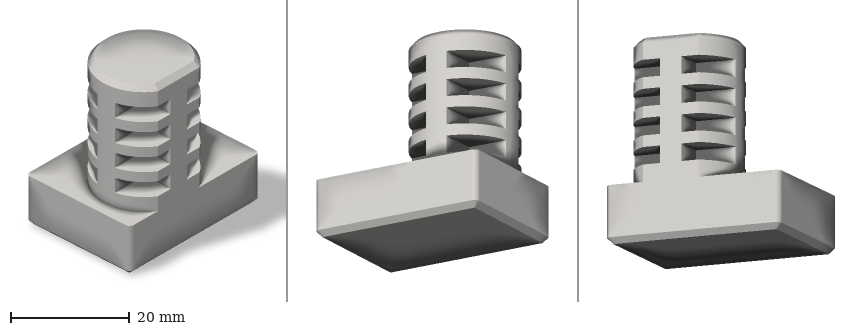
import cadquery as cq

base_length = 24.0
base_width = 32.0
base_height = 10.0
edge_size = 1.0

total_height = 35.0
post_diameter = 19.0
post_x = 16.0
post_y = 12.0

core_thickness = 4.0
slot_count = 4
slot_height = 3.0
slot_pitch = 5.0
first_slot_z = 13.0


def make_base():
    """Rounded block on a flared foot whose four corners are quarter cones."""
    centre = (base_length / 2, base_width / 2, 0)
    foot = (
        cq.Workplane("XY", origin=centre)
        .rect(base_length - 2 * edge_size, base_width - 2 * edge_size)
        .extrude(edge_size, taper=-45)
    )
    block = (
        cq.Workplane("XY", origin=centre)
        .workplane(offset=edge_size)
        .rect(base_length, base_width)
        .extrude(base_height - edge_size)
        .edges("|Z")
        .fillet(edge_size)
    )
    return block.union(foot)


def make_post():
    post = (
        cq.Workplane("XY", origin=(post_x, post_y, 0))
        .workplane(offset=base_height)
        .circle(post_diameter / 2)
        .extrude(total_height - base_height)
    )
    flat_cutter = cq.Workplane("XY", origin=(base_length, 0, 0)).box(
        post_diameter, base_width, total_height, centered=False
    )
    return post.cut(flat_cutter).faces(">Z").chamfer(edge_size)


def make_slot(bottom_z):
    """Four square-cornered quadrants that surround the core at one level."""
    quadrant_offset = (post_diameter + core_thickness) / 2
    return (
        cq.Workplane("XY", origin=(post_x, post_y, bottom_z))
        .rarray(2 * quadrant_offset, 2 * quadrant_offset, 2, 2)
        .rect(post_diameter, post_diameter)
        .extrude(slot_height)
    )


post = make_post()
for level in range(slot_count):
    post = post.cut(make_slot(first_slot_z + level * slot_pitch))

result = make_base().union(post)